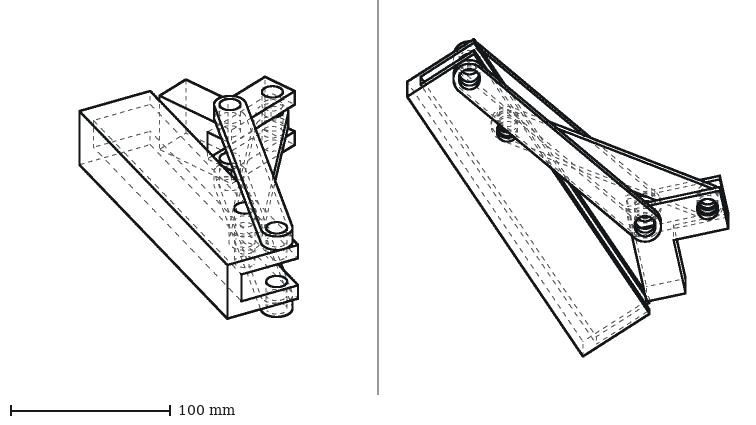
import cadquery as cq
import math

overall_height = 60.0
layers = 6
plate = overall_height / layers

housing_length = 20 * plate
housing_width = 5 * plate
housing_height = overall_height - 2 * plate
slot_height = 2 * plate

end_radius = plate
hole_diameter = 13.0
pivot_spacing = 43.0

bracket_arm_length = 6 * plate
bracket_arm_width = 2.5 * plate
bracket_slot_depth = 2 * plate
bracket_tilt = 21.0

housing_pivot_y = housing_width - end_radius
outer_pivot = (housing_length - end_radius, housing_pivot_y)
inner_pivot = (outer_pivot[0] - pivot_spacing, housing_pivot_y)
bracket_corner_pivot = (outer_pivot[0] - 139.4, housing_pivot_y + 39.9)

bracket_pivot_spacing = bracket_arm_length - 2 * end_radius
tilt = math.radians(bracket_tilt)
bracket_tip_pivot = (
    bracket_corner_pivot[0] - bracket_pivot_spacing * math.sin(tilt),
    bracket_corner_pivot[1] + bracket_pivot_spacing * math.cos(tilt),
)


def pivot_holes(points):
    """Vertical hole cutters running through the full height."""
    return (
        cq.Workplane("XY")
        .pushPoints(points)
        .circle(hole_diameter / 2)
        .extrude(overall_height / 2, both=True)
    )


def make_housing():
    """Channel of C-shaped section, open toward +Y."""
    block = cq.Workplane("XY").box(
        housing_length, housing_width, housing_height, centered=(False, False, True)
    )
    slot = (
        cq.Workplane("XY")
        .box(housing_length, housing_width - plate, slot_height, centered=(False, False, True))
        .translate((0, plate, 0))
    )
    return block.cut(slot).cut(pivot_holes([outer_pivot, inner_pivot]))


def make_bracket():
    """L-shaped bracket, with a slot along the back of its upper arm."""
    right = end_radius
    bottom = -end_radius
    left = right - bracket_arm_length
    top = bottom + bracket_arm_length
    inside_x = right - bracket_arm_width
    inside_y = bottom + bracket_arm_width
    outline = [
        (left, bottom),
        (right, bottom),
        (right, top),
        (inside_x, top),
        (inside_x, inside_y),
        (left, inside_y),
    ]
    body = cq.Workplane("XY").polyline(outline).close().extrude(housing_height / 2, both=True)
    slot = (
        cq.Workplane("XY")
        .box(bracket_slot_depth, bracket_arm_length, slot_height, centered=(False, False, True))
        .translate((right - bracket_slot_depth, bottom, 0))
    )
    placed = (
        body.cut(slot)
        .rotate((0, 0, 0), (0, 0, 1), bracket_tilt)
        .translate((*bracket_corner_pivot, 0))
    )
    return placed.cut(pivot_holes([bracket_corner_pivot, bracket_tip_pivot]))


def make_link(start, end, middle_z):
    """Flat bar with round ends, joining two pivots."""
    run_x = end[0] - start[0]
    run_y = end[1] - start[1]
    pivot_distance = math.hypot(run_x, run_y)
    angle = math.degrees(math.atan2(run_y, run_x))
    bar = (
        cq.Workplane("XY")
        .slot2D(pivot_distance + 2 * end_radius, 2 * end_radius, angle)
        .extrude(plate / 2, both=True)
        .translate(((start[0] + end[0]) / 2, (start[1] + end[1]) / 2, middle_z))
    )
    return bar.cut(pivot_holes([start, end]))


housing = make_housing()
bracket = make_bracket()
inner_link = make_link(bracket_tip_pivot, inner_pivot, 0)

outer_links = []
for side in (1, -1):
    link_z = side * (housing_height + plate) / 2
    outer_links.append(make_link(bracket_corner_pivot, outer_pivot, link_z).val())

result = cq.Compound.makeCompound([housing.val(), bracket.val(), inner_link.val(), *outer_links])